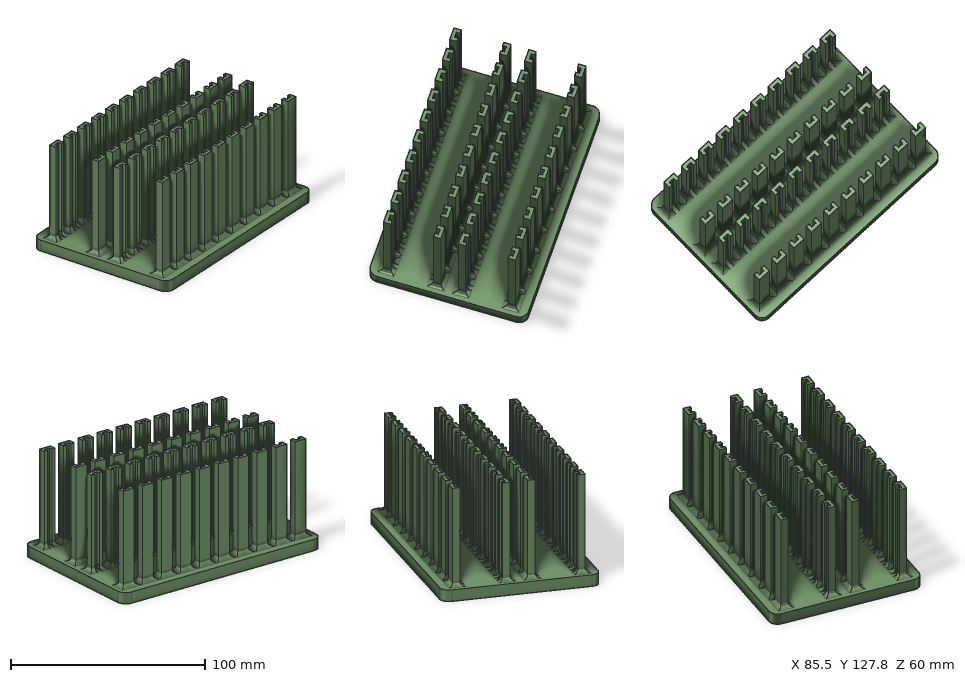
import cadquery as cq
import math

plate_length_x = 85.5
plate_length_y = 127.75
plate_thickness = 6.35
plate_corner_radius = 5.0

overall_height = 60.0
post_size_x = 4.0
post_size_y = 7.0
post_pitch_y = 12.3
posts_per_row = 10
inner_row_offset_x = 6.75
outer_row_offset_x = 33.75
foot_radius = 2.5

slot_depth = 2.0
post_slot_width = 3.0
foot_slot_width = 2.65

foot_top = plate_thickness + foot_radius


def make_plate():
    """Rounded plate standing on the XY plane."""
    plate = cq.Workplane("XY").box(
        plate_length_x, plate_length_y, plate_thickness, centered=(True, True, False)
    )
    return plate.edges("|Z").fillet(plate_corner_radius)


def make_foot_profile(half_size):
    """XZ outline of a post with a concave flared foot, centred on the vertical axis."""
    flare = half_size + foot_radius
    arc_offset = foot_radius * (1 - math.sqrt(0.5))
    arc_mid_x = half_size + arc_offset
    arc_mid_z = plate_thickness + arc_offset
    return (
        cq.Workplane("XZ")
        .moveTo(-flare, 0)
        .lineTo(flare, 0)
        .lineTo(flare, plate_thickness)
        .threePointArc((arc_mid_x, arc_mid_z), (half_size, foot_top))
        .lineTo(half_size, overall_height)
        .lineTo(-half_size, overall_height)
        .lineTo(-half_size, foot_top)
        .threePointArc((-arc_mid_x, arc_mid_z), (-flare, plate_thickness))
        .close()
    )


def make_slot(width, bottom, top):
    """Block that cuts the slot from its closed end out past the +X edge of the foot."""
    closed_end = post_size_x / 2 - slot_depth
    length = slot_depth + 2 * foot_radius
    block = cq.Workplane("XY").box(length, width, top - bottom, centered=(False, True, False))
    return block.translate((closed_end, 0, bottom))


def make_post():
    """Post slotted on its +X side, with a mitred concave foot, centred on the vertical axis."""
    reach = post_size_y / 2 + 2 * foot_radius
    along_y = make_foot_profile(post_size_x / 2).extrude(reach, both=True)
    along_x = make_foot_profile(post_size_y / 2).extrude(reach, both=True)
    along_x = along_x.rotate((0, 0, 0), (0, 0, 1), 90)
    foot_slot = make_slot(foot_slot_width, plate_thickness, foot_top)
    post_slot = make_slot(post_slot_width, foot_top, overall_height)
    return along_y.intersect(along_x).cut(foot_slot).cut(post_slot)


post_facing_right = make_post()
post_facing_left = post_facing_right.mirror("YZ")

rows = (
    (-outer_row_offset_x, post_facing_right),
    (-inner_row_offset_x, post_facing_left),
    (inner_row_offset_x, post_facing_right),
    (outer_row_offset_x, post_facing_left),
)

result = make_plate()
for row_x, post in rows:
    for index in range(posts_per_row):
        post_y = (index - (posts_per_row - 1) / 2) * post_pitch_y
        result = result.union(post.translate((row_x, post_y, 0)))
result = result.clean()